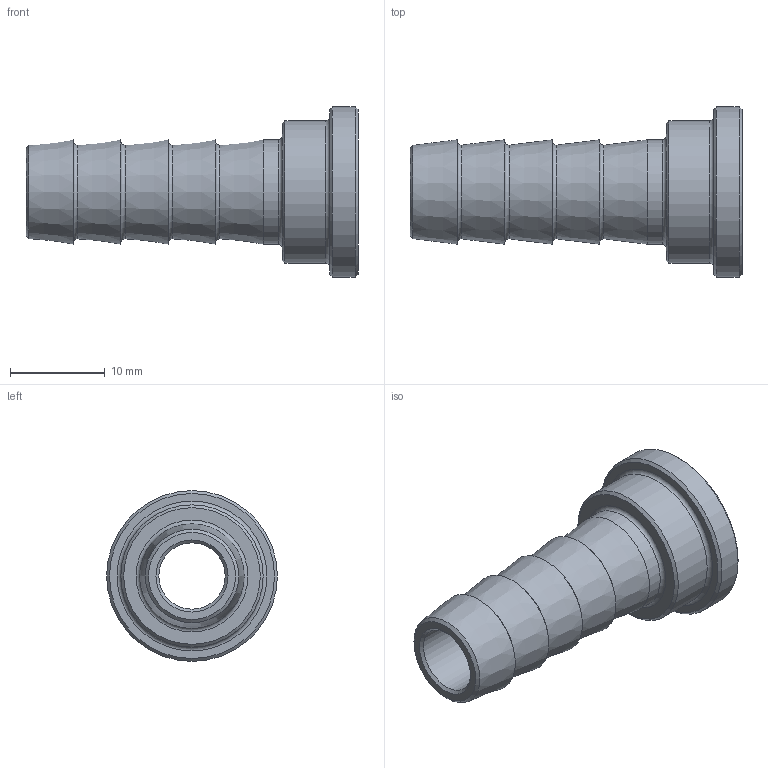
import cadquery as cq
import math


barb_count = 5
barb_pitch = 5.0
crest_radius = 11.0 / 2
barb_angle = 7.0

neck_length = 2.0
collar_radius = 15.0 / 2
collar_length = 5.0
flange_radius = 18.0 / 2
flange_length = 3.0

bore_radius = 7.0 / 2

edge_break = 0.3
corner_fillet = 0.4

root_radius = crest_radius - barb_pitch * math.tan(math.radians(barb_angle))
barbs_end = barb_count * barb_pitch
collar_start = barbs_end + neck_length
flange_start = collar_start + collar_length
total_length = flange_start + flange_length


def revolved_body():
    """Revolve the sharp-edged outline, including the bore, about the X axis."""
    outline = cq.Workplane("XY").moveTo(0, bore_radius)
    for barb in range(barb_count):
        barb_start = barb * barb_pitch
        outline = outline.lineTo(barb_start, root_radius)
        outline = outline.lineTo(barb_start + barb_pitch, crest_radius)
    outline = (
        outline.lineTo(collar_start, crest_radius)
        .lineTo(collar_start, collar_radius)
        .lineTo(flange_start, collar_radius)
        .lineTo(flange_start, flange_radius)
        .lineTo(total_length, flange_radius)
        .lineTo(total_length, bore_radius)
        .close()
    )
    return outline.revolve(360, (0, 0, 0), (1, 0, 0))


def ring_edge(body, x, radius):
    """Select the circular edge of the given radius lying in the plane at x."""
    tolerance = 0.01
    rings = [
        edge
        for edge in body.edges("%CIRCLE").vals()
        if abs(edge.Center().x - x) < tolerance and abs(edge.radius() - radius) < tolerance
    ]
    return body.newObject(rings)


def fillet_inner_corners(body):
    """Round the root behind each barb and the foot of the collar and flange."""
    for barb in range(1, barb_count):
        body = ring_edge(body, barb * barb_pitch, root_radius).fillet(corner_fillet)
    body = ring_edge(body, collar_start, crest_radius).fillet(corner_fillet)
    return ring_edge(body, flange_start, collar_radius).fillet(corner_fillet)


def break_outer_edges(body):
    """Chamfer the tip, its bore mouth, the collar and both flange rims."""
    sharp_rings = [
        (0, bore_radius),
        (0, root_radius),
        (collar_start, collar_radius),
        (flange_start, flange_radius),
        (total_length, flange_radius),
    ]
    for x, radius in sharp_rings:
        body = ring_edge(body, x, radius).chamfer(edge_break)
    return body


result = break_outer_edges(fillet_inner_corners(revolved_body()))